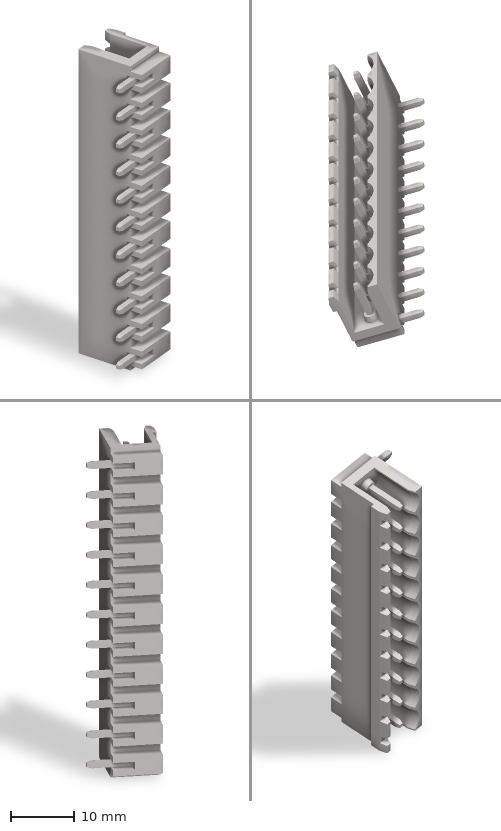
import cadquery as cq


pin_count = 11
pitch = 5.0
length = pin_count * pitch
pin_heights = [pitch * (i + 0.5) for i in range(pin_count)]

depth = 12.2
wall_top = 8.0
cavity_depth = 8.35
cavity_bottom = 2.05
cavity_top = 7.0
mouth_chamfer_length = 1.2
mouth_chamfer_rise = 0.4

lip_length = 3.05
lip_top = 8.65
lip_taper_length = 1.3
lip_taper_drop = 0.4
notch_depth = mouth_chamfer_length
notch_mouth_width = 1.66
notch_floor_width = 1.4

scallop_depth = 1.0
scallop_land = 0.6

tooth_start = 10.0
tooth_width = 3.2

pin_size = 1.0
pin_half = pin_size / 2
pin_axis_y = 4.0
pin_front = 0.8
bend_axis_x = 10.3
tail_length = 3.95
tip_length = 0.8
tip_size = 0.65
collar_front = 7.3
collar_front_radius = 1.05
collar_base_radius = 1.28

slot_start = 9.2
slot_width = 1.3
slot_depth = pin_axis_y - pin_half


def box(x_range, y_range, z_range):
    """Box spanning the given (start, end) range on each axis."""
    starts, ends = zip(x_range, y_range, z_range)
    sizes = [end - start for start, end in zip(starts, ends)]
    return cq.Workplane("XY").box(*sizes, centered=False).translate(starts)


def centred(middle, width):
    """Range of the given width about a middle value."""
    return (middle - width / 2, middle + width / 2)


def make_shroud():
    """U-shaped section with the latch lip, extruded along the row."""
    return (
        cq.Workplane("XY")
        .moveTo(0, 0)
        .lineTo(depth, 0)
        .lineTo(depth, wall_top)
        .lineTo(lip_length, wall_top)
        .lineTo(lip_length, lip_top)
        .lineTo(lip_taper_length, lip_top)
        .lineTo(0, lip_top - lip_taper_drop)
        .lineTo(0, cavity_top + mouth_chamfer_rise)
        .lineTo(mouth_chamfer_length, cavity_top)
        .lineTo(cavity_depth, cavity_top)
        .lineTo(cavity_depth, cavity_bottom)
        .lineTo(mouth_chamfer_length, cavity_bottom)
        .lineTo(0, cavity_bottom - mouth_chamfer_rise)
        .close()
        .extrude(length)
    )


def scallop_wire(x, z, chord_y):
    """Closed arc segment at depth x, bulging towards -Y from its chord."""
    half_width = (pitch - scallop_land) / 2
    start = cq.Vector(x, chord_y, z - half_width)
    bottom = cq.Vector(x, chord_y - scallop_depth, z)
    end = cq.Vector(x, chord_y, z + half_width)
    arc = cq.Edge.makeThreePointArc(start, bottom, end)
    return cq.Wire.assembleEdges([arc, cq.Edge.makeLine(end, start)])


def make_scallop(z):
    """Cutter for one scallop, sloping outwards at the chamfered mouth."""
    mouth = scallop_wire(0, z, cavity_bottom - mouth_chamfer_rise)
    throat = scallop_wire(mouth_chamfer_length, z, cavity_bottom)
    back = scallop_wire(cavity_depth, z, cavity_bottom)
    flare = cq.Solid.makeLoft([mouth, throat], True)
    channel = cq.Solid.makeLoft([throat, back], True)
    return cq.Workplane(flare).union(cq.Workplane(channel))


def make_lip_notch(z):
    """Cutter for one drafted notch across the front of the latch wall."""
    half_mouth = notch_mouth_width / 2
    half_floor = notch_floor_width / 2
    return (
        cq.Workplane("XZ", origin=(0, lip_top, z))
        .moveTo(0, -half_mouth)
        .lineTo(notch_depth, -half_floor)
        .lineTo(notch_depth, half_floor)
        .lineTo(0, half_mouth)
        .close()
        .extrude(lip_top - cavity_top)
    )


def make_tooth_gap(z):
    """Cutter for the gap between two back teeth, centred at height z."""
    return box((tooth_start, depth), (0, wall_top), centred(z, pitch - tooth_width))


def make_tail_slot(z):
    """Cutter for the slot around a pin tail, open to the -Y and back faces."""
    return box((slot_start, depth), (0, slot_depth), centred(z, slot_width))


def make_tip(base):
    """Tapered square pin tip along the normal of the base workplane."""
    return (
        base.rect(pin_size, pin_size)
        .workplane(offset=tip_length)
        .rect(tip_size, tip_size)
        .loft(ruled=True)
    )


def make_pin(z):
    """L-shaped square pin with tapered tips and a conical collar."""
    contact_end = pin_front + tip_length
    tail_end = tip_length - tail_length
    y_range = centred(pin_axis_y, pin_size)
    z_range = centred(z, pin_size)
    contact = box((contact_end, bend_axis_x + pin_half), y_range, z_range)
    tail = box(centred(bend_axis_x, pin_size), (tail_end, pin_axis_y), z_range)
    contact_plane = cq.Plane(origin=(contact_end, pin_axis_y, z), xDir=(0, 1, 0), normal=(-1, 0, 0))
    contact_tip = make_tip(cq.Workplane(contact_plane))
    tail_tip = make_tip(cq.Workplane("XZ", origin=(bend_axis_x, tail_end, z)))
    collar = cq.Workplane(
        cq.Solid.makeCone(
            collar_front_radius,
            collar_base_radius,
            cavity_depth - collar_front,
            pnt=cq.Vector(collar_front, pin_axis_y, z),
            dir=cq.Vector(1, 0, 0),
        )
    )
    return contact.union(tail).union(contact_tip).union(tail_tip).union(collar)


housing = make_shroud()
for i in range(pin_count + 1):
    housing = housing.cut(make_tooth_gap(i * pitch))
for height in pin_heights:
    housing = housing.cut(make_scallop(height))
    housing = housing.cut(make_lip_notch(height))
    housing = housing.cut(make_tail_slot(height))

result = housing
for height in pin_heights:
    result = result.union(make_pin(height))